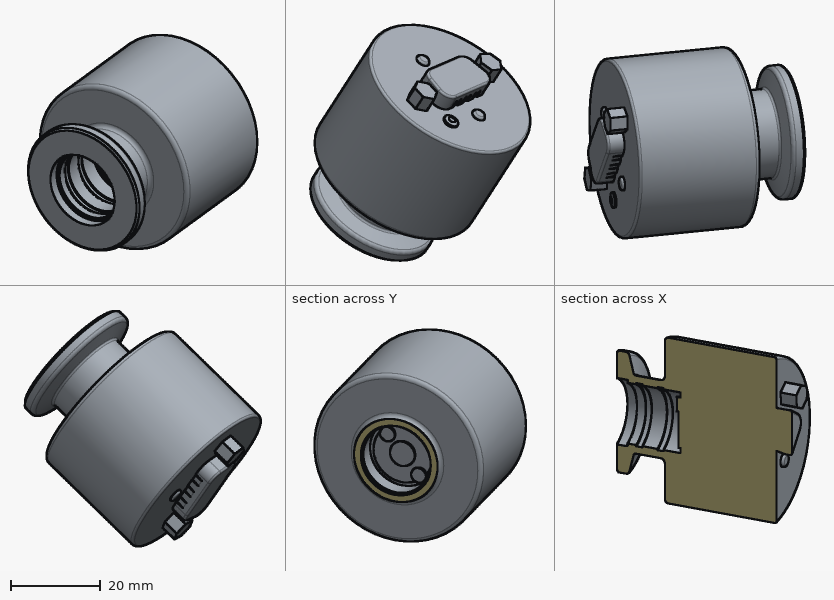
import cadquery as cq
import math


body_diameter = 40.2
body_front = 11.95
body_rear = 40.0
body_front_radius = 1.0
body_rear_radius = 0.55

flange_diameter = 29.97
flange_chamfer = 0.5
flange_cone_angle = 15
flange_back = 3.05
flange_rim_radius = 1.0
neck_diameter = 20.0
neck_root_radius = 0.53
neck_fillet = 1.0

mouth_diameter = 17.25
mouth_depth = 2.4
seat_diameter = 16.8
seat_depth = 2.72
bore_diameter = 16.0
bore_depth = 15.82
groove_diameter = 16.53
groove_width = 1.45
groove_starts = (4.92, 10.2)

sensor_diameter = 14.05
sensor_height = 0.45
pin_height = 0.9
center_pin_diameter = 5.9
side_pin_diameter = 3.5
side_pin_places = ((-3.55, 4.2), (3.85, -4.6))

rear_end = 43.95
shell_end = 43.9
connector_angle = 50
shell_half_width = 8.65
shell_half_thickness = 4.6
shell_slant = 10
shell_corner_radius = 2.85
shell_rim_radius = 0.53
notch_width = 1.65
notch_height = 2.0
notch_depth = 0.25
notch_pitch = 3.75

hex_flats = 5.0
hex_offset = 12.5
upper_hex_turn = 25
lower_hex_turn = 44
lower_hex_drop = 0.18

dome_diameter = 3.1
dome_top_diameter = 2.0
dome_height = 0.7
dome_offset = 9.05
cap_diameter = 3.47
cap_top_diameter = 1.63
cap_rim_height = 0.4
cap_height = 0.75
cap_place = (0, -12.1)

match_tolerance = 0.005

turn = math.radians(connector_angle)
across = cq.Vector(math.sin(turn), 0, math.cos(turn))
along = cq.Vector(-math.cos(turn), 0, math.sin(turn))


def cylinder(diameter, start, end, place=(0, 0)):
    """Cylinder along Y from start to end, centered at place = (x, z)."""
    sketch = cq.Workplane("XZ", origin=(0, start, 0)).center(*place)
    return sketch.circle(diameter / 2).extrude(start - end)


def turned(profile):
    """Solid of revolution about Y from (radius, y) points."""
    return cq.Workplane("XY").polyline(profile).close().revolve(360, (0, 0, 0), (0, 1, 0))


def fillet_circle(solid, diameter, y, radius):
    """Round the circular edge of the given diameter lying at height y."""
    def matches(edge):
        box = edge.BoundingBox()
        at_height = abs(box.ymin - y) < match_tolerance and abs(box.ymax - y) < match_tolerance
        return at_height and abs(box.xlen - diameter) < match_tolerance

    return solid.edges("%CIRCLE").filter(matches).fillet(radius)


def make_housing():
    flange_radius = flange_diameter / 2
    neck_radius = neck_diameter / 2
    body_radius = body_diameter / 2
    cone_height = (flange_radius - neck_radius) * math.tan(math.radians(flange_cone_angle))
    neck_start = flange_back + cone_height
    housing = turned([
        (0, 0),
        (flange_radius - flange_chamfer, 0),
        (flange_radius, flange_chamfer),
        (flange_radius, flange_back),
        (neck_radius, neck_start),
        (neck_radius, body_front),
        (body_radius, body_front),
        (body_radius, body_rear),
        (0, body_rear),
    ])
    housing = fillet_circle(housing, flange_diameter, flange_back, flange_rim_radius)
    housing = fillet_circle(housing, neck_diameter, neck_start, neck_root_radius)
    housing = fillet_circle(housing, neck_diameter, body_front, neck_fillet)
    housing = fillet_circle(housing, body_diameter, body_front, body_front_radius)
    return fillet_circle(housing, body_diameter, body_rear, body_rear_radius)


def make_bore():
    bore = turned([
        (0, 0),
        (mouth_diameter / 2, 0),
        (mouth_diameter / 2, mouth_depth),
        (seat_diameter / 2, seat_depth),
        (bore_diameter / 2, seat_depth),
        (bore_diameter / 2, bore_depth),
        (0, bore_depth),
    ])
    for start in groove_starts:
        bore = bore.union(cylinder(groove_diameter, start, start + groove_width))
    return bore


def make_sensor():
    disc_face = bore_depth - sensor_height
    pin_face = bore_depth - pin_height
    sensor = cylinder(sensor_diameter, disc_face, bore_depth)
    sensor = sensor.union(cylinder(center_pin_diameter, pin_face, bore_depth))
    for place in side_pin_places:
        sensor = sensor.union(cylinder(side_pin_diameter, pin_face, bore_depth, place))
    return sensor


def make_notch(offset, side):
    """Wedge that deepens towards the housing, on the short (1) or long (-1) side of the D."""
    origin = along * offset + cq.Vector(0, body_rear, 0)
    plane = cq.Plane(origin=origin, xDir=across * side, normal=along * side)
    wedge = cq.Workplane(plane).polyline([
        (shell_half_thickness, 0),
        (shell_half_thickness - notch_depth, 0),
        (shell_half_thickness, notch_height),
    ])
    return wedge.close().extrude(notch_width / 2, both=True)


def make_connector():
    plane = cq.Plane(origin=(0, body_rear, 0), xDir=along, normal=(0, 1, 0))
    taper = shell_half_thickness * math.tan(math.radians(shell_slant))
    short_half = shell_half_width - taper
    long_half = shell_half_width + taper
    connector = cq.Workplane(plane).polyline([
        (short_half, shell_half_thickness),
        (-short_half, shell_half_thickness),
        (-long_half, -shell_half_thickness),
        (long_half, -shell_half_thickness),
    ]).close().extrude(shell_end - body_rear)
    connector = connector.edges("|Y").fillet(shell_corner_radius)
    connector = connector.faces(">Y").edges().fillet(shell_rim_radius)
    for side in (1, -1):
        for step in (-1, 0, 1):
            connector = connector.cut(make_notch(step * notch_pitch, side))
    return connector


def make_standoff(offset, angle, end):
    """Hexagonal post at a distance along the D, turned by angle from +X towards +Z."""
    center = along * offset
    corner_diameter = hex_flats / math.cos(math.radians(30))
    sketch = cq.Workplane("XZ", origin=(0, body_rear, 0)).center(center.x, center.z)
    sketch = sketch.transformed(rotate=(0, 0, angle))
    return sketch.polygon(6, corner_diameter).extrude(body_rear - end)


def make_dome(offset):
    base_radius = dome_diameter / 2
    top_radius = dome_top_diameter / 2
    bulge = math.sqrt(0.5)
    middle = (top_radius + (base_radius - top_radius) * bulge, dome_height * bulge)
    profile = cq.Workplane("XY").lineTo(base_radius, 0)
    profile = profile.threePointArc(middle, (top_radius, dome_height))
    dome = profile.lineTo(0, dome_height).close().revolve(360, (0, 0, 0), (0, 1, 0))
    return dome.translate(across * offset + cq.Vector(0, body_rear, 0))


def make_cap():
    cap = turned([
        (0, 0),
        (cap_diameter / 2, 0),
        (cap_diameter / 2, cap_rim_height),
        (cap_top_diameter / 2, cap_height),
        (0, cap_height),
    ])
    return cap.translate((cap_place[0], body_rear, cap_place[1]))


result = make_housing().cut(make_bore()).union(make_sensor()).union(make_connector())
result = result.union(make_standoff(hex_offset, upper_hex_turn, rear_end))
result = result.union(make_standoff(-hex_offset, lower_hex_turn, rear_end - lower_hex_drop))
result = result.union(make_dome(dome_offset)).union(make_dome(-dome_offset)).union(make_cap())